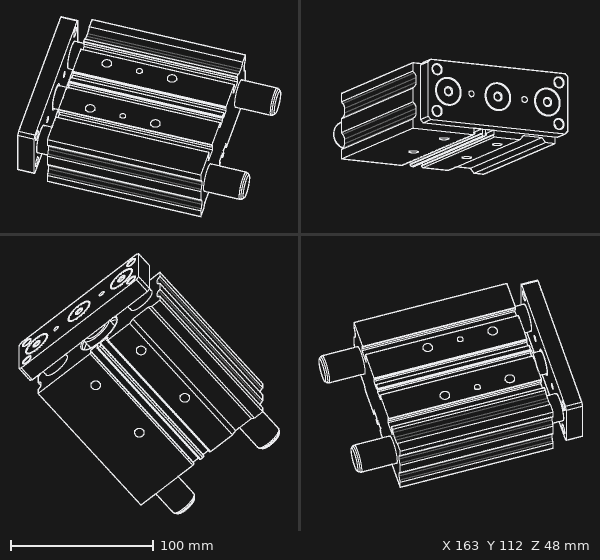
import cadquery as cq
import math


EPS = 0.02

length = 163.0
plate_thickness = 12.0
cover_start = 19.2
housing_start = 22.0
housing_length = 112.5

housing_width = 112.0
housing_height = 48.0
half_width = housing_width / 2
half_height = housing_height / 2
corner_step_drop = 0.7

groove_lip_angle = math.radians(45)
side_groove_radius = 4.7
side_groove_z = 11.1
side_groove_flat = 3.3
side_groove_lip = 1.1
top_groove_y = 43.5
top_groove_flat = 2.5
top_groove_lip = 1.6
top_groove_inner_radius = 4.7
top_groove_outer_radius = 5.4

outer_slot_y = 31.5
outer_slot_opening = 6.5
outer_slot_inner = 10.1
outer_slot_lip = 2.5
outer_slot_depth = 7.7
middle_slot_y = 4.5
middle_slot_opening = 5.0
middle_slot_inner = 6.7
middle_slot_lip = 1.6
middle_slot_depth = 5.0
top_slot_bevel = 0.3
bottom_slot_bevel = 1.1

channel_y = -38.3
channel_width = 20.2
channel_depth = 3.3
channel_slope = 3.0

mount_hole_xs = (43.2, 91.0)
mount_hole_diameter = 6.7
mount_hole_y = 20.9
dowel_x = sum(mount_hole_xs) / 2
dowel_diameter = 4.0
dowel_slot_length = 4.4
dowel_depth = 6.0

plate_width = 110.0
plate_height = 43.5
plate_chamfer = 2.1
corner_hole_y = 48.0
corner_hole_z = 15.0
corner_hole_diameter = 7.0
corner_hole_rim = 0.5
head_recess_diameter = 19.9
head_recess_depth = 0.8

guide_y = 39.0
guide_diameter = 19.9
piston_rod_diameter = 16.6
head_diameter = 18.9
tail_length = 2.5
tail_middle_radius = 9.5
tail_end_radius = 8.3
socket_diameter = 5.2
socket_rim = 0.7
socket_depth = 13.0
drill_tip_angle = 118.0

bore_diameter = 32.0
bore_depth = 32.6
bore_chamfer = 0.8
bore_end = housing_start + bore_depth
cover_nose_diameter = 23.1
cover_setback = 3.3
cover_shoulder = housing_start + cover_setback
piston_rod_end = bore_end


def rod_along_x(diameter, start, end, y=0.0, z=0.0):
    """A plain cylinder parallel to X."""
    return cq.Workplane("YZ", origin=(start, y, z)).circle(diameter / 2).extrude(end - start)


def turned_profile(points):
    """Revolve an outline of (x, radius) points about the X axis."""
    return cq.Workplane("XY").polyline(points).close().revolve(360, (0, 0, 0), (1, 0, 0))


def along_housing(outline):
    """Run a closed YZ outline along the whole housing and past both ends."""
    return outline.close().extrude(housing_length + 2 * EPS)


def housing_sketch_plane():
    """The YZ plane just ahead of the housing's front face."""
    return cq.Workplane("YZ", origin=(housing_start - EPS, 0, 0))


def side_groove():
    """A groove in the surface Z = 0, with sloped lips blended by arcs into a flat floor."""
    half_flat = side_groove_flat / 2
    half_arc = half_flat + side_groove_radius * math.sin(groove_lip_angle)
    half_mouth = half_arc + side_groove_lip + EPS
    floor = -side_groove_lip - side_groove_radius * (1 - math.cos(groove_lip_angle))
    return along_housing(
        housing_sketch_plane()
        .moveTo(-half_mouth, EPS)
        .lineTo(-half_arc, -side_groove_lip)
        .radiusArc((-half_flat, floor), -side_groove_radius)
        .lineTo(half_flat, floor)
        .radiusArc((half_arc, -side_groove_lip), -side_groove_radius)
        .lineTo(half_mouth, EPS)
    )


def top_groove():
    """A groove whose +Y arc runs out at the lowered edge strip, and whose -Y side has a sloped lip."""
    half_flat = top_groove_flat / 2
    depth = top_groove_lip + top_groove_inner_radius * (1 - math.cos(groove_lip_angle))
    inner_arc = half_flat + top_groove_inner_radius * math.sin(groove_lip_angle)
    outer_angle = math.acos(1 - (depth - corner_step_drop) / top_groove_outer_radius)
    outer_arc = half_flat + top_groove_outer_radius * math.sin(outer_angle)
    return along_housing(
        housing_sketch_plane()
        .moveTo(-inner_arc - top_groove_lip - EPS, EPS)
        .lineTo(-inner_arc, -top_groove_lip)
        .radiusArc((-half_flat, -depth), -top_groove_inner_radius)
        .lineTo(half_flat, -depth)
        .radiusArc((outer_arc, -corner_step_drop), -top_groove_outer_radius)
        .lineTo(outer_arc, EPS)
    )


def t_slot(opening, inner, lip, depth, bevel):
    """A T-slot in the surface Z = 0, with bevelled mouth edges."""
    half_mouth = opening / 2 + bevel + EPS
    half_opening = opening / 2
    half_inner = inner / 2
    return along_housing(
        housing_sketch_plane().polyline([
            (-half_mouth, EPS),
            (-half_opening, -bevel),
            (-half_opening, -lip),
            (-half_inner, -lip),
            (-half_inner, -depth),
            (half_inner, -depth),
            (half_inner, -lip),
            (half_opening, -lip),
            (half_opening, -bevel),
            (half_mouth, EPS),
        ])
    )


def wide_channel():
    """A shallow channel with sloped sides in the surface Z = 0."""
    half_mouth = channel_width / 2
    half_floor = half_mouth - channel_slope
    return along_housing(
        housing_sketch_plane().polyline([
            (-half_mouth, EPS),
            (-half_floor, -channel_depth),
            (half_floor, -channel_depth),
            (half_mouth, EPS),
        ])
    )


def turned_about_x(cutter, angle):
    return cutter.rotate((0, 0, 0), (1, 0, 0), angle)


def on_top(cutter, y):
    return cutter.translate((0, y, half_height))


def on_bottom(cutter, y):
    return turned_about_x(cutter, 180).translate((0, y, -half_height))


def on_side(cutter, side, z):
    """Place a cutter on the +Y side (side = 1) or on the -Y side (side = -1)."""
    return turned_about_x(cutter, -90 * side).translate((0, side * half_width, z))


def cut_profile(body):
    """Cut the grooves and slots that run the full length of the housing."""
    step_width = half_width - top_groove_y
    corner_step = (
        cq.Workplane("XY")
        .box(housing_length, step_width, corner_step_drop, centered=False)
        .translate((housing_start, top_groove_y, half_height - corner_step_drop))
    )
    body = body.cut(corner_step)

    for side in (-1, 1):
        for z in (-side_groove_z, side_groove_z):
            body = body.cut(on_side(side_groove(), side, z))
    body = body.cut(on_top(top_groove(), top_groove_y))

    outer_sizes = (outer_slot_opening, outer_slot_inner, outer_slot_lip, outer_slot_depth)
    outer_slot = t_slot(*outer_sizes, top_slot_bevel)
    for y in (-outer_slot_y, outer_slot_y):
        body = body.cut(on_top(outer_slot, y))

    middle_sizes = (middle_slot_opening, middle_slot_inner, middle_slot_lip, middle_slot_depth)
    top_middle_slot = t_slot(*middle_sizes, top_slot_bevel)
    bottom_middle_slot = t_slot(*middle_sizes, bottom_slot_bevel)
    for y in (-middle_slot_y, middle_slot_y):
        body = body.cut(on_top(top_middle_slot, y))
        body = body.cut(on_bottom(bottom_middle_slot, y))
    return body.cut(on_bottom(wide_channel(), channel_y))


def cut_top_holes(body):
    """Through mounting holes, plus a round and a slotted dowel hole between them."""
    top_plane = cq.Workplane("XY", origin=(0, 0, half_height))
    mount_points = [(x, y) for x in mount_hole_xs for y in (-mount_hole_y, mount_hole_y)]
    mount_holes = top_plane.pushPoints(mount_points).circle(mount_hole_diameter / 2).extrude(-housing_height)
    dowel_hole = top_plane.center(dowel_x, -mount_hole_y).circle(dowel_diameter / 2).extrude(-dowel_depth)
    dowel_slot = (
        top_plane.center(dowel_x, mount_hole_y)
        .slot2D(dowel_slot_length, dowel_diameter, 90)
        .extrude(-dowel_depth)
    )
    return body.cut(mount_holes).cut(dowel_hole).cut(dowel_slot)


def cylinder_bore():
    """The blind bore for the head cover, with a chamfered mouth."""
    radius = bore_diameter / 2
    return turned_profile([
        (housing_start, 0),
        (housing_start, radius + bore_chamfer),
        (housing_start + bore_chamfer, radius),
        (bore_end, radius),
        (bore_end, 0),
    ])


def make_housing():
    body = (
        cq.Workplane("XY")
        .box(housing_length, housing_width, housing_height, centered=(False, True, True))
        .translate((housing_start, 0, 0))
    )
    body = cut_top_holes(cut_profile(body))
    for y in (-guide_y, guide_y):
        body = body.cut(rod_along_x(guide_diameter, housing_start, housing_start + housing_length, y))
    return body.cut(cylinder_bore())


def plate_corner_hole():
    """A through hole with a chamfered rim on the outer face, on the X axis."""
    radius = corner_hole_diameter / 2
    return turned_profile([
        (0, 0),
        (0, radius + corner_hole_rim),
        (corner_hole_rim, radius),
        (plate_thickness, radius),
        (plate_thickness, 0),
    ])


def make_plate():
    """The tool plate, with holes for the rod heads, the corner screws and two dowels."""
    body = (
        cq.Workplane("XY")
        .box(plate_thickness, plate_width, plate_height, centered=(False, True, True))
        .edges("|X")
        .chamfer(plate_chamfer)
    )
    for y in (-guide_y, 0, guide_y):
        body = body.cut(rod_along_x(head_diameter, 0, plate_thickness, y))
        body = body.cut(rod_along_x(head_recess_diameter, 0, head_recess_depth, y))
    for y in (-corner_hole_y, corner_hole_y):
        for z in (-corner_hole_z, corner_hole_z):
            body = body.cut(plate_corner_hole().translate((0, y, z)))

    plate_plane = cq.Workplane("YZ")
    dowel_hole = plate_plane.center(mount_hole_y, 0).circle(dowel_diameter / 2).extrude(plate_thickness)
    dowel_slot = (
        plate_plane.center(-mount_hole_y, 0)
        .slot2D(dowel_slot_length, dowel_diameter)
        .extrude(plate_thickness)
    )
    return body.cut(dowel_hole).cut(dowel_slot)


def drilled_socket():
    """A drilled hole on the X axis, with a chamfered rim and a conical tip."""
    radius = socket_diameter / 2
    tip_length = radius / math.tan(math.radians(drill_tip_angle / 2))
    return turned_profile([
        (0, 0),
        (0, radius + socket_rim),
        (socket_rim, radius),
        (socket_depth, radius),
        (socket_depth + tip_length, 0),
    ])


def make_guide_rod(y):
    """A guide rod with a narrower head in the plate and a two-step bevel at the tail."""
    shaft_radius = guide_diameter / 2
    head_radius = head_diameter / 2
    rod = turned_profile([
        (0, 0),
        (0, head_radius),
        (plate_thickness, head_radius),
        (plate_thickness, shaft_radius),
        (length - tail_length, shaft_radius),
        (length - tail_length / 2, tail_middle_radius),
        (length, tail_end_radius),
        (length, 0),
    ])
    return rod.cut(drilled_socket()).translate((0, y, 0))


def make_piston_rod():
    """The middle rod: a wide head in the plate, and a shaft that ends at the floor of the bore."""
    head = rod_along_x(head_diameter, 0, plate_thickness)
    shaft = rod_along_x(piston_rod_diameter, plate_thickness, piston_rod_end)
    return head.union(shaft).cut(drilled_socket())


def make_head_cover():
    """The sleeve around the piston rod: a flange that fills the bore, and a nose that sticks out of it."""
    nose = rod_along_x(cover_nose_diameter, cover_start, cover_shoulder)
    flange = rod_along_x(bore_diameter, cover_shoulder, bore_end)
    return nose.union(flange).cut(rod_along_x(piston_rod_diameter, cover_start, bore_end))


housing = make_housing()
plate = make_plate()
guide_rods = [make_guide_rod(y) for y in (-guide_y, guide_y)]
piston_rod = make_piston_rod()
head_cover = make_head_cover()

result = cq.Compound.makeCompound([
    housing.val(),
    plate.val(),
    *[rod.val() for rod in guide_rods],
    piston_rod.val(),
    head_cover.val(),
])